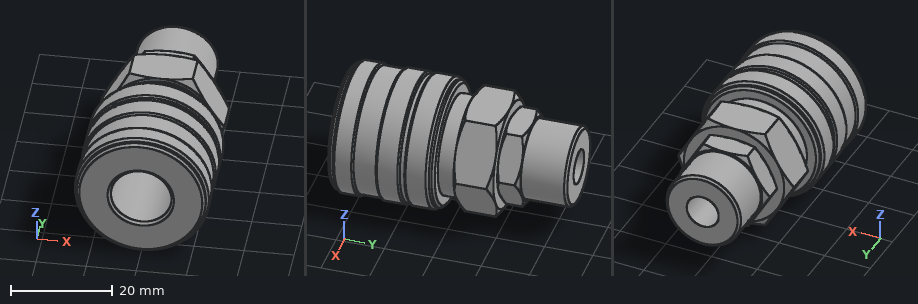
import cadquery as cq
import math

TOTAL_LENGTH = 48.0

SLEEVE_LENGTH = 22.05
RIM_RADIUS = 12.85
RIM_CHAMFER_LENGTH = 0.55
RIM_CHAMFER_DEPTH = 0.6
GROOVE_RADIUS = 13.0
BAND_RADIUS = 13.4
BAND_CHAMFER = 0.4
END_BAND_CHAMFER = 0.55
FRONT_BAND = (1.05, 5.45)
MIDDLE_BAND = (10.05, 15.0)
REAR_BAND = (15.95, 21.0)

NECK_RADIUS = 10.3
LARGE_HEX_START = 25.5
LARGE_HEX_FLATS = 22.0
SMALL_HEX_START = 33.75
SMALL_HEX_FLATS = 17.0
HEX_CHAMFER_ANGLE = 30.0
SPIGOT_START = 38.55
SPIGOT_RADIUS = 8.15
SPIGOT_CHAMFER = 0.55

SOCKET_RADIUS = 6.05
SOCKET_CHAMFER = 0.6
SOCKET_DEPTH = SLEEVE_LENGTH
PASSAGE_RADIUS = 3.5


def revolve(stations):
    """Solid of revolution about Y through (radius, y) stations."""
    first_y = stations[0][1]
    last_y = stations[-1][1]
    outline = [(0, first_y)] + stations + [(0, last_y)]
    return cq.Workplane("XY").polyline(outline).close().revolve(360, (0, 0), (0, 1))


def cylinder(radius, start, end):
    return revolve([(radius, start), (radius, end)])


def band(limits, root_radii, chamfers):
    """Raised ring with a front and a rear chamfer down to the given root radii."""
    start, end = limits
    front_root, rear_root = root_radii
    front_chamfer, rear_chamfer = chamfers
    return revolve([
        (front_root, start),
        (BAND_RADIUS, start + front_chamfer),
        (BAND_RADIUS, end - rear_chamfer),
        (rear_root, end),
    ])


def sleeve():
    rim_face_radius = RIM_RADIUS - RIM_CHAMFER_DEPTH
    core = revolve([
        (rim_face_radius, 0),
        (RIM_RADIUS, RIM_CHAMFER_LENGTH),
        (RIM_RADIUS, SLEEVE_LENGTH - RIM_CHAMFER_LENGTH),
        (rim_face_radius, SLEEVE_LENGTH),
    ])
    grooved_body = cylinder(GROOVE_RADIUS, FRONT_BAND[1], REAR_BAND[0])
    front = band(FRONT_BAND, (RIM_RADIUS, GROOVE_RADIUS), (END_BAND_CHAMFER, BAND_CHAMFER))
    middle = band(MIDDLE_BAND, (GROOVE_RADIUS, GROOVE_RADIUS), (BAND_CHAMFER, BAND_CHAMFER))
    rear = band(REAR_BAND, (GROOVE_RADIUS, RIM_RADIUS), (BAND_CHAMFER, END_BAND_CHAMFER))
    return core.union(grooved_body).union(front).union(middle).union(rear)


def hexagon(flats, start, end):
    """Hexagon with corners on the X axis and both ends coned from the flat circle."""
    flat_radius = flats / 2
    corner_radius = flat_radius / math.cos(math.radians(30))
    cone_length = (corner_radius - flat_radius) * math.tan(math.radians(HEX_CHAMFER_ANGLE))
    prism = (
        cq.Workplane("XZ", origin=(0, start, 0))
        .polygon(6, 2 * corner_radius)
        .extrude(start - end)
    )
    envelope = revolve([
        (flat_radius, start),
        (corner_radius, start + cone_length),
        (corner_radius, end - cone_length),
        (flat_radius, end),
    ])
    return prism.intersect(envelope)


def spigot():
    return revolve([
        (SPIGOT_RADIUS, SPIGOT_START),
        (SPIGOT_RADIUS, TOTAL_LENGTH - SPIGOT_CHAMFER),
        (SPIGOT_RADIUS - SPIGOT_CHAMFER, TOTAL_LENGTH),
    ])


def bore():
    """Chamfered socket followed by the narrower through passage."""
    return revolve([
        (SOCKET_RADIUS + SOCKET_CHAMFER, 0),
        (SOCKET_RADIUS, SOCKET_CHAMFER),
        (SOCKET_RADIUS, SOCKET_DEPTH),
        (PASSAGE_RADIUS, SOCKET_DEPTH),
        (PASSAGE_RADIUS, TOTAL_LENGTH),
    ])


result = (
    sleeve()
    .union(cylinder(NECK_RADIUS, SLEEVE_LENGTH, LARGE_HEX_START))
    .union(hexagon(LARGE_HEX_FLATS, LARGE_HEX_START, SMALL_HEX_START))
    .union(hexagon(SMALL_HEX_FLATS, SMALL_HEX_START, SPIGOT_START))
    .union(spigot())
    .cut(bore())
)